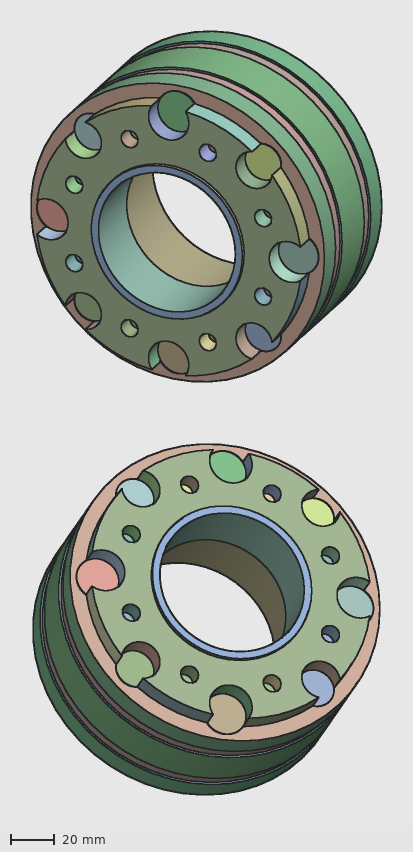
import cadquery as cq


OUTER_DIAMETER = 146.0
BODY_LENGTH = 64.7
BORE_DIAMETER = 68.0
BACK_BORE_DIAMETER = 82.0
BACK_BORE_DEPTH = 45.0

GROOVE_DIAMETER = 144.0
GROOVE_WIDTH = 7.3
END_BAND_WIDTH = 12.5

FLANGE_DIAMETER = 132.0
FLANGE_THICKNESS = 10.1
RING_DIAMETER = 75.0
RING_HEIGHT = 2.0
FLANGE_FACE = BODY_LENGTH + FLANGE_THICKNESS
TOTAL_LENGTH = FLANGE_FACE + RING_HEIGHT

RECESS_CIRCLE_RADIUS = 60.0
RECESS_DEPTH_IN_BODY = 0.5
RECESS_DEPTH = FLANGE_THICKNESS + RECESS_DEPTH_IN_BODY
MAIN_RECESS_DIAMETER = 20.0
DIAGONAL_RECESS_DIAMETER = 18.0
RECESS_COUNT = 4

SMALL_HOLE_DIAMETER = 8.3
SMALL_HOLE_CIRCLE_RADIUS = 50.8
SMALL_HOLE_COUNT = 2 * RECESS_COUNT

DIAGONAL_ANGLE = 180 / RECESS_COUNT
SMALL_HOLE_ANGLE = DIAGONAL_ANGLE / 2


def disc(diameter, start, length):
    """Cylinder on the part axis, from `start` in front of the back face towards -Y."""
    return cq.Workplane("XZ", origin=(0, -start, 0)).circle(diameter / 2).extrude(length)


def grooved_body():
    """Body built as three full-diameter bands on a core of the groove diameter."""
    second_band_start = END_BAND_WIDTH + GROOVE_WIDTH
    middle_band_width = BODY_LENGTH - 2 * second_band_start
    front_band_start = BODY_LENGTH - END_BAND_WIDTH
    core = disc(GROOVE_DIAMETER, 0, BODY_LENGTH)
    back_band = disc(OUTER_DIAMETER, 0, END_BAND_WIDTH)
    middle_band = disc(OUTER_DIAMETER, second_band_start, middle_band_width)
    front_band = disc(OUTER_DIAMETER, front_band_start, END_BAND_WIDTH)
    return core.union(back_band).union(middle_band).union(front_band)


def stepped_bore():
    """Cutter for the through bore and its wider back section."""
    return disc(BORE_DIAMETER, 0, TOTAL_LENGTH).union(disc(BACK_BORE_DIAMETER, 0, BACK_BORE_DEPTH))


def hole_pattern(diameter, circle_radius, depth, count, first_angle):
    """Cutters sunk into the flange face, evenly spaced on a circle."""
    return (
        cq.Workplane("XZ", origin=(0, -FLANGE_FACE, 0))
        .polarArray(circle_radius, first_angle, 360, count)
        .circle(diameter / 2)
        .extrude(-depth)
    )


flange = disc(FLANGE_DIAMETER, BODY_LENGTH, FLANGE_THICKNESS)
ring = disc(RING_DIAMETER, FLANGE_FACE, RING_HEIGHT)
main_recesses = hole_pattern(
    MAIN_RECESS_DIAMETER, RECESS_CIRCLE_RADIUS, RECESS_DEPTH, RECESS_COUNT, 0
)
diagonal_recesses = hole_pattern(
    DIAGONAL_RECESS_DIAMETER, RECESS_CIRCLE_RADIUS, RECESS_DEPTH, RECESS_COUNT, DIAGONAL_ANGLE
)
small_holes = hole_pattern(
    SMALL_HOLE_DIAMETER, SMALL_HOLE_CIRCLE_RADIUS, FLANGE_THICKNESS, SMALL_HOLE_COUNT, SMALL_HOLE_ANGLE
)

result = grooved_body().union(flange).union(ring).cut(stepped_bore())
result = result.cut(main_recesses).cut(diagonal_recesses).cut(small_holes)